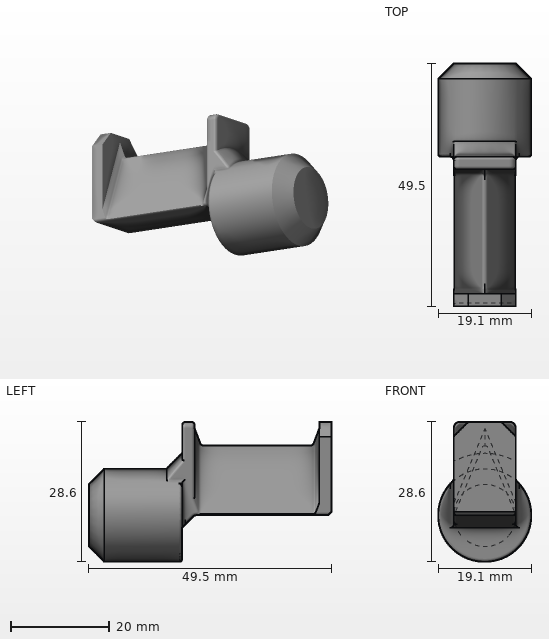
import cadquery as cq
import math

plug_diameter = 19.05
plug_length = 19.05
back_chamfer = 3.175
plug_radius = plug_diameter / 2

edge_round = 0.635

plate_width = 12.7
plate_thickness = 2.54
plate_top = 19.05
plate_corner_radius = 1.27
lower_gusset_drop = 2.54
upper_gusset_reach = 3.175
half_width = plate_width / 2

cone_radius = plug_radius + upper_gusset_reach

foot_clearance = 0.03
foot_front = -edge_round - foot_clearance

arm_length = 25.4
arm_apex = 15.24
flare_size = 0.95
flare_angle = 45
under_round = 0.95
flank_angle = math.atan2(half_width, arm_apex)
arm_skirt = half_width
arm_back = -plate_thickness
arm_front = arm_back - arm_length

end_thickness = 2.54
end_corner_chamfer = 3.0
end_bottom_chamfer = 0.762
end_front = arm_front - end_thickness

toe_end = arm_back - flare_size - edge_round * math.tan(math.radians(flare_angle) / 2)

margin = 0.01


def slab(y_start, y_end, z_start, z_end, width):
    """Block centred on X = 0 between the given Y and Z limits."""
    block = cq.Workplane("XY").box(width, y_end - y_start, z_end - z_start, centered=(True, False, False))
    return block.translate((0, y_start, z_start))


def pick_edges(body, test):
    """Edges of body whose bounding box and centre pass the test."""
    picked = [edge for edge in body.edges().vals() if test(edge.BoundingBox(), edge.Center())]
    return body.newObject(picked)


def near(value, target):
    return abs(value - target) < margin


def on_side(box):
    """True for a box lying flat on one of the two side faces of the plate."""
    return near(box.xlen, 0) and near(max(abs(box.xmin), abs(box.xmax)), half_width)


def make_plug():
    """Plug with a plate-wide foot, concave rounds where they meet, and a rounded front rim."""
    blank = cq.Workplane("XZ").circle(plug_radius).extrude(-plug_length).faces(">Y").chamfer(back_chamfer)
    foot = slab(foot_front, upper_gusset_reach, -plug_radius / 2, cone_radius, plate_width)
    body = blank.union(foot)
    body = pick_edges(body, is_cheek_corner).fillet(edge_round)
    body = body.cut(make_rim_cutter())
    return body.cut(make_cone_cutter()).cut(make_gusset_cutter())


def is_cheek_corner(box, centre):
    """Corner between a side of the foot and the front face or barrel of the plug."""
    return on_side(box) and box.ymin > -margin and box.zmax < plug_radius - margin


def make_rim_cutter():
    """Ring that rounds the front rim, interrupted at the foot."""
    ring = (
        cq.Workplane("XY")
        .moveTo(plug_radius - edge_round, 0)
        .radiusArc((plug_radius, edge_round), -edge_round)
        .lineTo(plug_radius + edge_round, edge_round)
        .lineTo(plug_radius + edge_round, -edge_round)
        .lineTo(plug_radius - edge_round, -edge_round)
        .close()
        .revolve(360, (0, 0, 0), (0, 1, 0))
    )
    return ring.cut(slab(-edge_round, edge_round, 0, cone_radius, plate_width + 2 * edge_round))


def make_cone_cutter():
    """Space outside the conical upper gusset."""
    clearance = 2 * plug_diameter
    outline = [(plug_radius, upper_gusset_reach), (cone_radius, 0)]
    outline += [(clearance, 0), (clearance, upper_gusset_reach)]
    cutter = cq.Workplane("XY").polyline(outline).close().revolve(360, (0, 0, 0), (0, 1, 0))
    return cutter.intersect(slab(0, upper_gusset_reach, 0, clearance, 2 * clearance))


def make_gusset_cutter():
    """Space below the 45 degree lower gusset, ahead of the front face of the plug."""
    outline = [(-lower_gusset_drop, 0), (0, -lower_gusset_drop), (0, -plug_radius), (-lower_gusset_drop, -plug_radius)]
    return cq.Workplane("YZ").polyline(outline).close().extrude(plug_radius, both=True)


def arm_section(y, offset):
    """Triangle of the arm at the given Y, flanks moved outward by offset and carried down below Z = 0."""
    apex = arm_apex + offset / math.sin(flank_angle)
    half_base = (apex + arm_skirt) * math.tan(flank_angle)
    section = cq.Workplane("XZ", origin=(0, y, 0))
    return section.polyline([(-half_base, -arm_skirt), (half_base, -arm_skirt), (0, apex)]).close()


def make_arm():
    """Arm with a rounded ridge and 45 degree flares at both ends, trimmed to the plate width."""
    arm = arm_section(arm_back, 0).extrude(arm_length).edges(">Z").fillet(edge_round)
    arm = arm.union(arm_section(arm_back, flare_size).extrude(2 * flare_size, taper=flare_angle))
    arm = arm.union(arm_section(arm_front, flare_size).extrude(-2 * flare_size, taper=flare_angle))
    arm = pick_edges(arm, is_flare_toe).fillet(edge_round)
    return arm.intersect(slab(arm_front, arm_back, 0, plate_top, plate_width))


def is_flare_toe(box, centre):
    """Corner between an arm flank and its flare."""
    at_toe = near(centre.y, arm_back - flare_size) or near(centre.y, arm_front + flare_size)
    return at_toe and near(box.ylen, 0) and box.zlen > arm_apex / 2


def make_end_plate():
    """Plate at the free end with clipped top corners and a chamfered lower front edge."""
    plate = slab(end_front, arm_front, 0, plate_top, plate_width)
    plate = plate.edges("|Y and >Z").chamfer(end_corner_chamfer)
    return plate.edges("<Y and <Z").chamfer(end_bottom_chamfer)


def make_hook():
    """Upright plate with its lower gusset, the arm and the end plate."""
    outline = [(arm_back, plate_top), (arm_back, 0), (0, -lower_gusset_drop), (0, plate_top)]
    plate = cq.Workplane("YZ").polyline(outline).close().extrude(half_width, both=True)
    plate = plate.edges("|Y and >Z").fillet(plate_corner_radius)
    hook = plate.union(make_arm())
    hook = pick_edges(hook, is_under_corner).fillet(under_round)
    hook = pick_edges(hook, is_plate_front_edge).fillet(edge_round)
    return hook.union(make_end_plate()).cut(make_bottom_edge_cutter())


def is_under_corner(box, centre):
    """Inside corner between the arm underside and the lower gusset."""
    return near(box.xlen, plate_width) and near(box.ymin, arm_back) and near(box.zmin, 0) and near(box.zmax, 0)


def is_plate_front_edge(box, centre):
    """Outer front edge of the plate, running on down the flare and the lower gusset."""
    on_front = near(box.ymin, arm_back) and near(box.ymax, arm_back)
    on_top = on_front and box.zmin > plate_top - plate_corner_radius - margin
    down_side = on_side(box) and box.ymin < -margin and box.ymin > arm_back - plate_thickness
    down_side = down_side and (on_front or box.zmax < plate_top / 2)
    return on_top or down_side


def make_bottom_edge_cutter():
    """Material outside the rounded bottom side edges of the arm and end plate."""
    rounded = slab(end_front, toe_end, 0, plate_top, plate_width).edges("|Y and <Z").fillet(edge_round)
    return slab(end_front, toe_end, 0, edge_round, plate_width + edge_round).cut(rounded)


def is_plate_back_edge(box, centre):
    """Back edge of the plate above the cone, or side edge of the conical gusset."""
    above_cone = near(box.ymin, 0) and near(box.ymax, 0) and box.zmax > cone_radius + margin
    beside_cone = on_side(box) and near(box.ymin, 0) and centre.z > plug_radius / 2 and box.ymax > margin
    return above_cone or beside_cone


body = make_plug().union(make_hook())
result = pick_edges(body, is_plate_back_edge).fillet(edge_round)